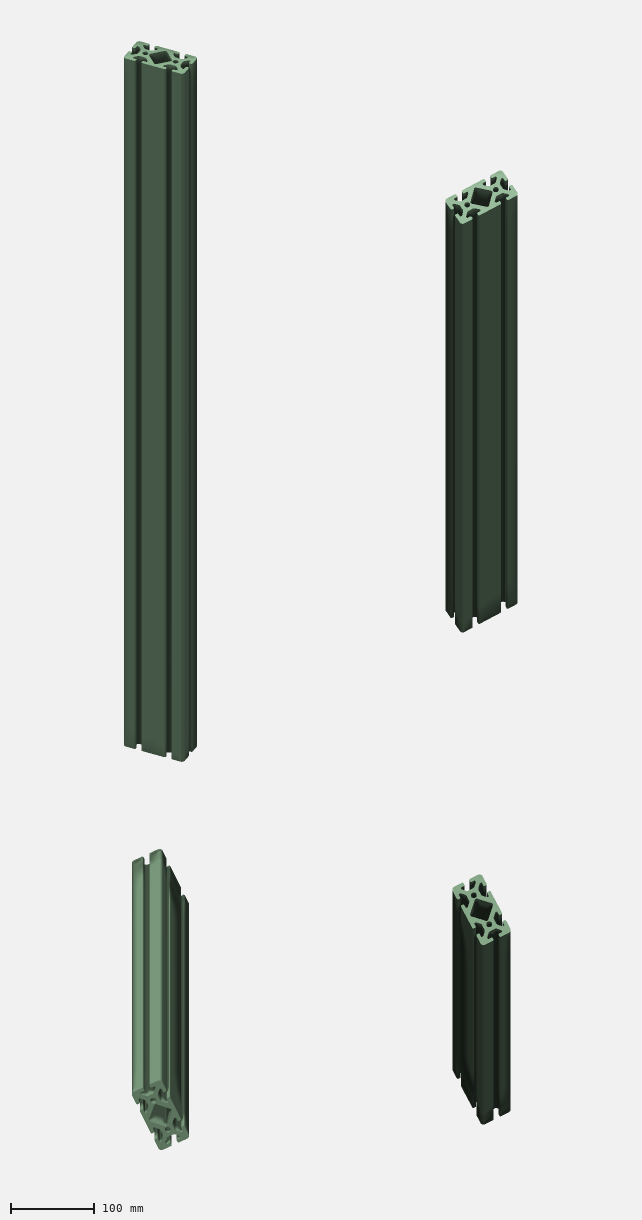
import cadquery as cq

length = 1000.0
module = 40.0
width = 2 * module
depth = module
corner_radius = 4.0

mouth_half_width = 4.0
lip_thickness = 4.5
undercut_half_width = 9.5
wall_bottom = 7.0
floor_depth = 12.0
floor_half_width = undercut_half_width - (floor_depth - wall_bottom)
mouth_radius = 1.5
lip_radius = 1.0
undercut_radius = 0.5
wall_radius = 1.0
floor_radius = 4.0
flange_overhang = 5.0

bore_diameter = 7.0
cavity_half_width = 15.0
cavity_flat_half_width = 1.0


def fillet_edge_pair(solid, x, y, radius):
    """Round the two edges along Z that stand at (x, y) and (-x, y)."""
    tolerance = 0.001
    edges = [
        edge
        for edge in solid.edges("|Z").vals()
        if abs(abs(edge.Center().x) - x) < tolerance and abs(edge.Center().y - y) < tolerance
    ]
    return solid.newObject(edges).fillet(radius)


def make_slot_cutter():
    """T-slot with its mouth centred on the origin and its floor towards -Y."""
    flange_half_width = mouth_half_width + flange_overhang
    rounded_corners = [
        (mouth_half_width, 0, mouth_radius),
        (mouth_half_width, -lip_thickness, lip_radius),
        (undercut_half_width, -lip_thickness, undercut_radius),
        (undercut_half_width, -wall_bottom, wall_radius),
        (floor_half_width, -floor_depth, floor_radius),
    ]
    right_side = [(flange_half_width, flange_overhang), (flange_half_width, 0)]
    right_side += [(x, y) for x, y, _ in rounded_corners]
    left_side = [(-x, y) for x, y in reversed(right_side)]
    cutter = cq.Workplane("XY").polyline(right_side + left_side).close().extrude(length)
    for x, y, radius in rounded_corners:
        cutter = fillet_edge_pair(cutter, x, y, radius)
    return cutter


def make_cavity():
    """Central diamond hollow with its four points cut flat."""
    far = cavity_half_width
    near = cavity_flat_half_width
    outline = [
        (far, -near),
        (far, near),
        (near, far),
        (-near, far),
        (-far, near),
        (-far, -near),
        (-near, -far),
        (near, -far),
    ]
    return cq.Workplane("XY").polyline(outline).close().extrude(length)


def make_bores():
    """Round core hole in the centre of each cell."""
    centres = [(-module / 2, 0), (module / 2, 0)]
    return cq.Workplane("XY").pushPoints(centres).circle(bore_diameter / 2).extrude(length)


profile = cq.Workplane("XY").rect(width, depth).extrude(length).edges("|Z").fillet(corner_radius)

slot_places = [
    (-module / 2, depth / 2, 0),
    (module / 2, depth / 2, 0),
    (-module / 2, -depth / 2, 180),
    (module / 2, -depth / 2, 180),
    (width / 2, 0, -90),
    (-width / 2, 0, 90),
]
slot_cutter = make_slot_cutter()
for mouth_x, mouth_y, turn in slot_places:
    slot = slot_cutter.rotate((0, 0, 0), (0, 0, 1), turn).translate((mouth_x, mouth_y, 0))
    profile = profile.cut(slot)

result = profile.cut(make_cavity()).cut(make_bores())